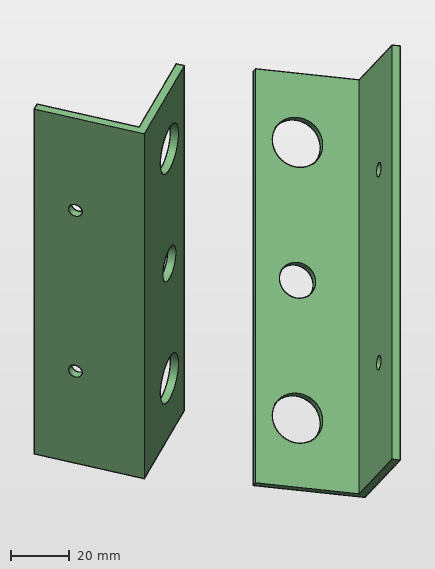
import cadquery as cq

length = 150.0
leg = 40.0
thickness = 3.0

edge_distance = 15.0

small_hole_diameter = 5.0
small_hole_heights = (40.0, 110.0)

large_hole_diameter = 18.0
large_hole_end_distance = 25.0
middle_hole_diameter = 12.9


def front_leg_hole(height, diameter):
    """Cutter along Y through the leg that faces -Y."""
    return (
        cq.Workplane("XZ", origin=(edge_distance, thickness, height))
        .circle(diameter / 2)
        .extrude(thickness)
    )


def side_leg_hole(height, diameter):
    """Cutter along X through the leg at the +X side."""
    return (
        cq.Workplane("YZ", origin=(leg - thickness, leg - edge_distance, height))
        .circle(diameter / 2)
        .extrude(thickness)
    )


front_leg = cq.Workplane("XY").box(leg, thickness, length, centered=False)
side_leg = (
    cq.Workplane("XY")
    .box(thickness, leg, length, centered=False)
    .translate((leg - thickness, 0, 0))
)
result = front_leg.union(side_leg)

for hole_height in small_hole_heights:
    result = result.cut(front_leg_hole(hole_height, small_hole_diameter))

for hole_height in (large_hole_end_distance, length - large_hole_end_distance):
    result = result.cut(side_leg_hole(hole_height, large_hole_diameter))

result = result.cut(side_leg_hole(length / 2, middle_hole_diameter))